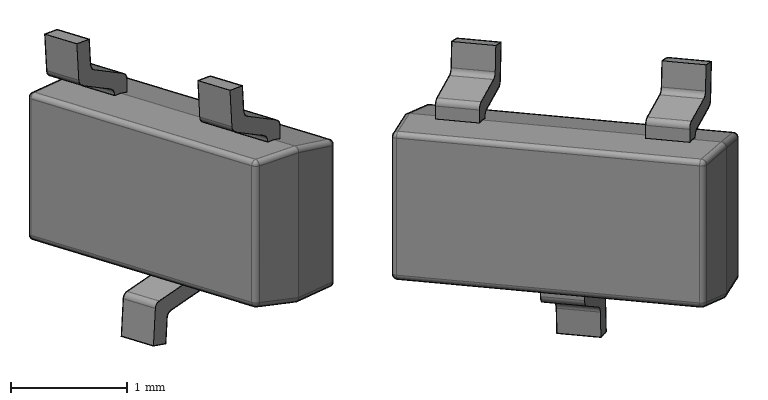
import cadquery as cq
import math

body_width = 2.92
body_height = 1.402
body_depth = 0.952
draft_angle = 5.0
edge_radius = 0.05

lead_width = 0.4
lead_thickness = 0.15
lead_spacing = 1.905
bend_radius = 0.065
slope_angle = 17.0
foot_angle = 4.0
lead_span = 2.53
first_bend_z = 0.803
second_bend_y = -0.425
lead_embed = 0.145


def make_body():
    """Two tapered halves with every edge except the parting line rounded."""
    halves = [
        cq.Workplane("XZ")
        .rect(body_width, body_height)
        .extrude(side * body_depth / 2, taper=draft_angle)
        for side in (1, -1)
    ]
    body = halves[0].union(halves[1])
    parting_edges = cq.selectors.BoxSelector(
        (-body_width, -edge_radius, -body_height), (body_width, edge_radius, body_height)
    )
    rounded_edges = body.edges(cq.selectors.InverseSelector(parting_edges))
    return rounded_edges.fillet(edge_radius)


def lead_side(offset):
    """Root, two bends and tip of the lead outline, offset toward +Y from its centreline."""
    slope = math.radians(slope_angle)
    foot = math.radians(foot_angle)
    second_bend_z = first_bend_z - second_bend_y * math.tan(slope)
    tip_z = lead_span / 2 - lead_thickness / 2 * math.sin(foot)
    tip_y = second_bend_y - (tip_z - second_bend_z) * math.tan(foot)

    root_direction = math.pi / 2
    slope_direction = math.pi - slope
    foot_direction = math.pi / 2 + foot

    def mitre(y, z, direction_in, direction_out):
        normal = (direction_in + direction_out) / 2 - math.pi / 2
        reach = offset / math.cos((direction_out - direction_in) / 2)
        return (y + reach * math.cos(normal), z + reach * math.sin(normal))

    return [
        (offset, body_height / 2 - lead_embed),
        mitre(0, first_bend_z, root_direction, slope_direction),
        mitre(second_bend_y, second_bend_z, slope_direction, foot_direction),
        (tip_y + offset * math.cos(foot), tip_z + offset * math.sin(foot)),
    ]


def make_lead(center_x):
    """Upward lead whose four bend corners share one radius."""
    inner = lead_side(lead_thickness / 2)
    outer = lead_side(-lead_thickness / 2)
    lead = (
        cq.Workplane("YZ", origin=(center_x, 0, 0))
        .polyline(inner + outer[::-1])
        .close()
        .extrude(lead_width / 2, both=True)
    )
    for y, z in inner[1:3] + outer[1:3]:
        lead = lead.edges(cq.selectors.NearestToPointSelector((center_x, y, z))).fillet(bend_radius)
    return lead


result = make_body()
for lead_x in (-lead_spacing / 2, lead_spacing / 2):
    result = result.union(make_lead(lead_x))
result = result.union(make_lead(0).mirror("XY"))